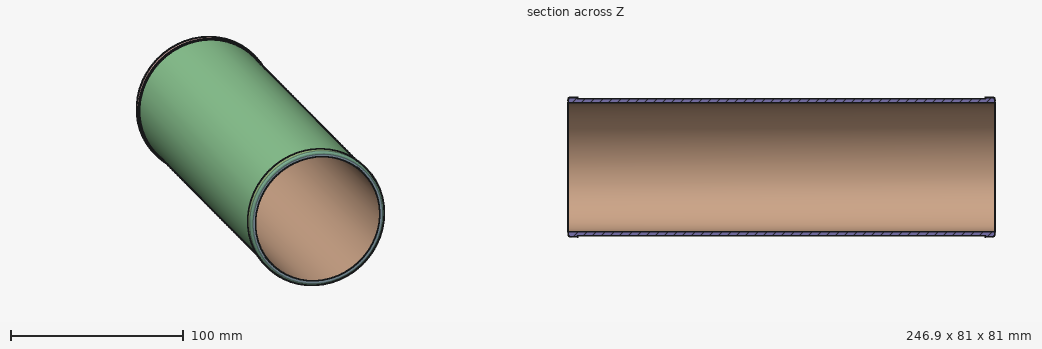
import cadquery as cq

LENGTH = 246.89
BORE_DIAMETER = 74.61
TUBE_DIAMETER = 79.45
COLLAR_DIAMETER = 80.98
COLLAR_WIDTH = 5.5
COLLAR_FILLET = 1.6


def cylinder_along_x(diameter, length, start):
    """Solid cylinder about the X axis, running from x = start in the +X direction."""
    return cq.Workplane("YZ", origin=(start, 0, 0)).circle(diameter / 2).extrude(length)


def make_collar(start, rim_selector):
    """Raised end band with its outward-facing rim rounded."""
    collar = cylinder_along_x(COLLAR_DIAMETER, COLLAR_WIDTH, start)
    return collar.faces(rim_selector).edges().fillet(COLLAR_FILLET)


half_length = LENGTH / 2

barrel_length = LENGTH - COLLAR_WIDTH
barrel = cylinder_along_x(TUBE_DIAMETER, barrel_length, -barrel_length / 2)

left_collar = make_collar(-half_length, "<X")
right_collar = make_collar(half_length - COLLAR_WIDTH, ">X")

bore = cylinder_along_x(BORE_DIAMETER, LENGTH, -half_length)

result = barrel.union(left_collar).union(right_collar).cut(bore)